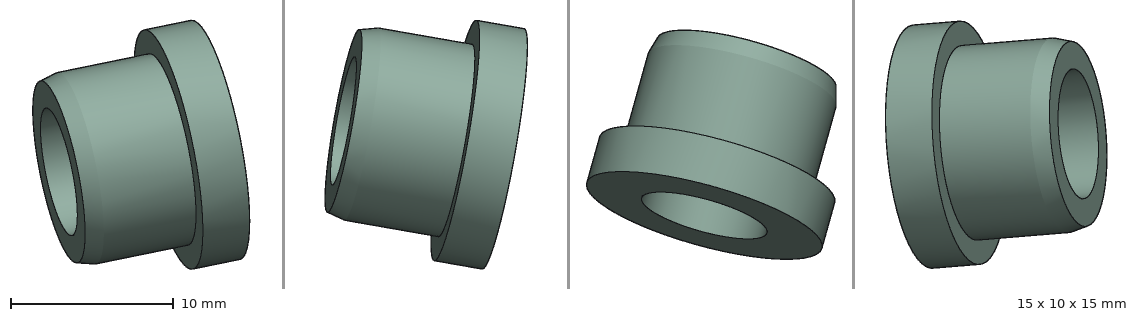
import cadquery as cq

flange_diameter = 15.0
flange_thickness = 3.0
sleeve_diameter = 12.0
bore_diameter = 8.0
total_length = 10.0
lead_in_length = 1.12
lead_in_depth = 0.3

flange_radius = flange_diameter / 2
sleeve_radius = sleeve_diameter / 2
bore_radius = bore_diameter / 2
tip_radius = sleeve_radius - lead_in_depth
shoulder_y = total_length - flange_thickness

half_section = (
    cq.Workplane("XY")
    .moveTo(bore_radius, 0)
    .lineTo(tip_radius, 0)
    .lineTo(sleeve_radius, lead_in_length)
    .lineTo(sleeve_radius, shoulder_y)
    .lineTo(flange_radius, shoulder_y)
    .lineTo(flange_radius, total_length)
    .lineTo(bore_radius, total_length)
    .close()
)

result = half_section.revolve(360, (0, 0, 0), (0, 1, 0))